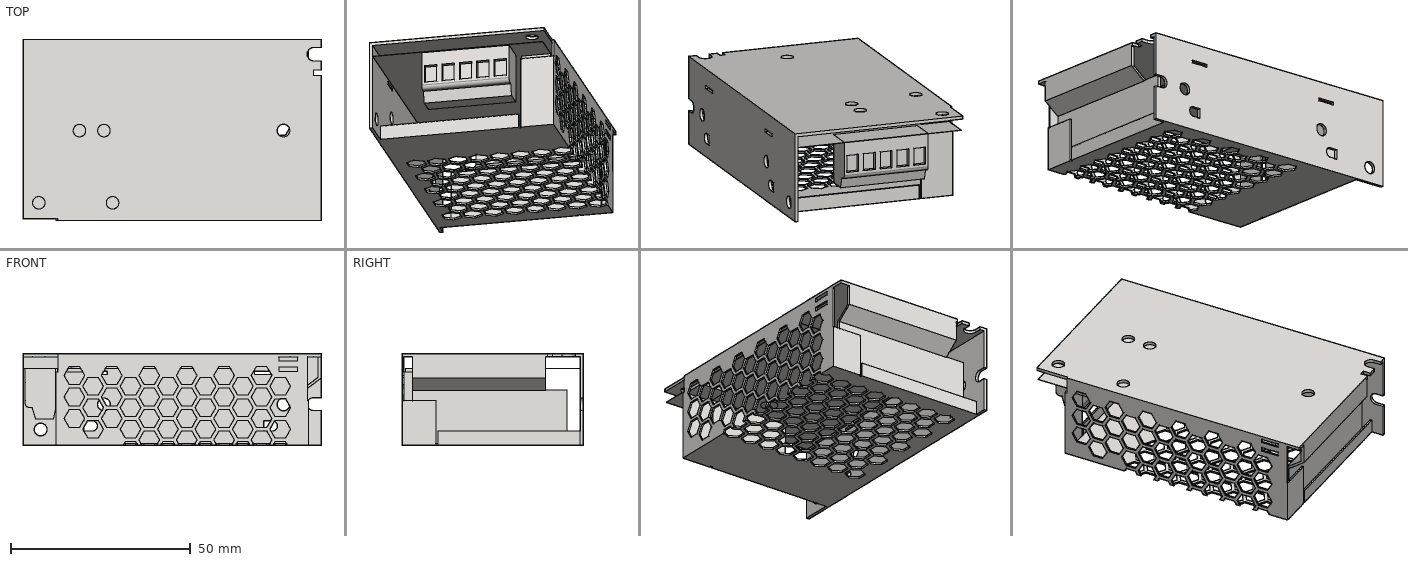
import cadquery as cq
import math

length = 83.0
width = 50.5
height = 25.5

chassis_t = 0.9
plate_bottom = height - chassis_t
back_inner = width - chassis_t
mount_hole_d = 3.5
mid_hole_y = 25.1
front_hole_y = 5.0
standoff_x = 15.7
plate_holes = [
    (standoff_x, mid_hole_y),
    (22.5, mid_hole_y),
    (72.5, mid_hole_y),
    (4.4, front_hole_y),
    (24.9, front_hole_y),
]

vent_length = 5.2

cover_t = 0.5
cover_x0 = 9.1
cover_x1 = 79.4
cover_relief_x0 = 9.7
cover_relief_x1 = 79.2
flange_depth = 9.4
left_flange_h = 20.4
right_flange_h = 12.45
lip_height = 4.0
lip_y0 = 10.0

hex_pitch = 6.0
hex_flats = 5.0
hex_corner_d = hex_flats * 2 / math.sqrt(3)
hex_first_x = 14.3
hex_last_x = 71.55
hex_columns = 12
hex_column_step = (hex_last_x - hex_first_x) / (hex_columns - 1)
hex_top_z = 19.4
wall_hex_rows = 4
solid_columns = 3
floor_hex_y0 = -0.6
floor_hex_rows = 8

standoff_r = 2.4
sheet_x0 = 0.2
sheet_x1 = 61.4
sheet_y0 = 0.9
sheet_top = 21.4
sheet_t = 0.1
terminal_y0 = 10.6
terminal_y1 = 35.6


def block(x0, x1, y0, y1, z0, z1):
    return cq.Workplane("XY").box(x1 - x0, y1 - y0, z1 - z0, centered=False).translate((x0, y0, z0))


def extrude_along_y(profile, y0, y1):
    """Extrude a closed XZ profile from y0 to y1."""
    return profile.extrude(y0 - y1).translate((0, y0, 0))


def top_plate():
    plate = block(0, length, 0, width, plate_bottom, height)
    plate = plate.cut(block(0, cover_relief_x0, 0, cover_t, plate_bottom, height))
    holes = cq.Workplane("XY").pushPoints(plate_holes).circle(mount_hole_d / 2).extrude(height)

    edge_slot_w = 3.7
    edge_slot_y = 46.3
    edge_slot_x = 80.9
    edge_slot_reach = 2 * (length - edge_slot_x) + edge_slot_w
    edge_slot = (
        cq.Workplane("XY")
        .center(length, edge_slot_y)
        .slot2D(edge_slot_reach, edge_slot_w)
        .extrude(height)
    )

    notch_x = 80.85
    notch_y = 40.4
    notch_w = 1.5
    notch = block(notch_x, length, notch_y, notch_y + notch_w, plate_bottom, height)
    return plate.cut(holes).cut(edge_slot).cut(notch)


def back_wall():
    wall = block(0, length, back_inner, width, 0, height)

    round_hole_d = 3.5
    for x, z in [(4.9, 4.4), (22.5, 11.4), (72.5, 11.4)]:
        hole = cq.Workplane("XZ").center(x, z).circle(round_hole_d / 2)
        wall = wall.cut(extrude_along_y(hole, back_inner, width))

    slot_w = 3.5
    slot_x = 80.8
    slot_z = 11.45
    slot_reach = 2 * (length - slot_x) + slot_w
    slot = cq.Workplane("XZ").center(length, slot_z).slot2D(slot_reach, slot_w)
    wall = wall.cut(extrude_along_y(slot, back_inner, width))

    d_width = 3.7
    d_radius = 1.4
    d_z = 5.4
    for x in (16.9, 67.0):
        arc_x = x + d_width - d_radius
        opening = (
            cq.Workplane("XZ")
            .moveTo(x, d_z - d_radius)
            .lineTo(arc_x, d_z - d_radius)
            .threePointArc((x + d_width, d_z), (arc_x, d_z + d_radius))
            .lineTo(x, d_z + d_radius)
            .close()
        )
        wall = wall.cut(extrude_along_y(opening, back_inner, width))

    vent_z = 19.75
    vent_h = 0.8
    for x in (18.2, 64.4):
        wall = wall.cut(block(x, x + vent_length, back_inner, width, vent_z, vent_z + vent_h))
    return wall


def end_tab():
    """Tab folded down from the right end of the plate, jogged inward below a slope."""
    y0 = 2.9
    y1_upper = 39.9
    y1_lower = 45.9
    jog_top = 18.9
    jog_bottom = 15.4
    outer_drop = 0.2
    inner_x = 77.4
    upper_x = length - chassis_t
    lower_x = inner_x + chassis_t
    upper = (
        cq.Workplane("XZ")
        .moveTo(upper_x, plate_bottom)
        .lineTo(length, plate_bottom)
        .lineTo(length, jog_top - outer_drop)
        .lineTo(lower_x, jog_bottom - outer_drop)
        .lineTo(inner_x, jog_bottom - outer_drop)
        .lineTo(inner_x, jog_bottom)
        .lineTo(upper_x, jog_top)
        .close()
    )
    lower = block(inner_x, lower_x, y0, y1_lower, cover_t, jog_bottom)
    return extrude_along_y(upper, y0, y1_upper).union(lower)


def hexagons(plane, centers, depth):
    return cq.Workplane(plane).pushPoints(centers).polygon(6, hex_corner_d).extrude(depth)


def wall_hex_centers():
    """XZ centers; the lowest row is left out of the columns beside the left flange."""
    centers = []
    for column in range(hex_columns):
        odd = column % 2
        rows = wall_hex_rows - 1 if column < solid_columns else wall_hex_rows
        for row in range(rows):
            z = hex_top_z - (row + odd / 2) * hex_pitch
            centers.append((hex_first_x + column * hex_column_step, z))
    return centers


def floor_hex_centers():
    """XY centers; the floor stays solid under the first columns."""
    centers = []
    for column in range(solid_columns, hex_columns):
        odd = column % 2
        for row in range(floor_hex_rows):
            y = floor_hex_y0 + (row + odd / 2) * hex_pitch
            centers.append((hex_first_x + column * hex_column_step, y))
    return centers


def cover():
    wall = block(cover_relief_x0, cover_relief_x1, 0, cover_t, 0, height)
    wall = wall.union(block(cover_x0, cover_relief_x0, 0, cover_t, 0, left_flange_h))
    wall = wall.union(block(cover_relief_x1, cover_x1, 0, cover_t, 0, right_flange_h))
    wall = wall.cut(hexagons("XZ", wall_hex_centers(), -cover_t))
    vent_x = 71.1
    vent_h = 1.2
    for z in (20.6, 23.5):
        wall = wall.cut(block(vent_x, vent_x + vent_length, 0, cover_t, z, z + vent_h))

    floor = block(cover_x0, cover_x1, cover_t, back_inner, 0, cover_t)
    floor = floor.cut(hexagons("XY", floor_hex_centers(), cover_t))

    body = wall.union(floor)
    for x, flange_h in [(cover_x0, left_flange_h), (cover_x1 - cover_t, right_flange_h)]:
        body = body.union(block(x, x + cover_t, 0, flange_depth, 0, flange_h))
        body = body.union(block(x, x + cover_t, lip_y0, back_inner, 0, lip_height))
        body = body.cut(block(x, x + cover_t, flange_depth, lip_y0, 0, cover_t))
    return body


def insulating_sheet():
    """Thin sheet under the plate, with a corner pad and a standoff up to the plate."""
    sheet = block(sheet_x0, sheet_x1, sheet_y0, back_inner, sheet_top - sheet_t, sheet_top)
    pad_x1 = 16.6
    pad_y1 = 9.2
    corner_pad = block(cover_x0 + cover_t, pad_x1, sheet_y0, pad_y1, left_flange_h, sheet_top)
    sheet_bottom = sheet_top - sheet_t
    standoff = (
        cq.Workplane("XY", origin=(standoff_x, mid_hole_y, sheet_bottom))
        .circle(standoff_r)
        .extrude(plate_bottom - sheet_bottom)
    )
    return sheet.union(corner_pad).union(standoff)


def terminal_block():
    """Terminal strip hanging from the sheet, with a row of wire windows facing left."""
    front_x = 0.6
    step_z = 10.5
    step_r = 1.2
    bottom_z = 7.4
    back_x = 9.0
    taper_top_x = 2.5
    bottom_x0 = 3.5
    bottom_x1 = 8.5
    back_corner_z = 9.6
    profile = (
        cq.Workplane("XZ")
        .moveTo(front_x, sheet_top)
        .lineTo(front_x, step_z + step_r)
        .radiusArc((front_x + step_r, step_z), -step_r)
        .lineTo(taper_top_x, step_z)
        .lineTo(bottom_x0, bottom_z)
        .lineTo(bottom_x1, bottom_z)
        .lineTo(back_x, back_corner_z)
        .lineTo(back_x, sheet_top)
        .close()
    )
    body = extrude_along_y(profile, terminal_y0, terminal_y1)

    window_count = 5
    window_pitch = 5.0
    window_w = 3.5
    window_depth = 1.25
    window_z0 = 12.5
    window_z1 = 17.4
    middle_y = (terminal_y0 + terminal_y1) / 2
    for i in range(window_count):
        y = middle_y + (i - (window_count - 1) / 2) * window_pitch
        y0 = y - window_w / 2
        window = block(front_x, front_x + window_depth, y0, y0 + window_w, window_z0, window_z1)
        body = body.cut(window)
    return body


result = top_plate()
for piece in (back_wall(), end_tab(), cover(), insulating_sheet(), terminal_block()):
    result = result.union(piece)